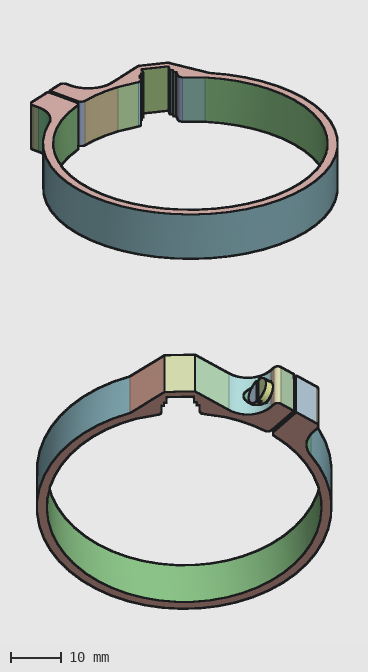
import cadquery as cq
import math

outer_radius = 29.0
inner_radius = 27.0
height = 10.0

overall_length = 64.0
lug_end_x = outer_radius - overall_length
lug_top_y = 4.55
lug_bottom_y = -6.4
slit_width = 0.6
lug_blend_radius = 5.9
lug_corner_radius = 0.95

bulge_angle = 140.0
bulge_outer_distance = 33.1
bulge_inner_distance = 31.55
bulge_outer_half_width = 2.975
notch_half_width = 2.7
tooth_depth = 0.5
tooth_distances = (29.95, 29.05)
jaw_tip_distance = 26.75
jaw_foot_half_width = 8.8
jaw_tip_radius = 0.95

screw_x = -31.0
head_diameter = 5.5
pocket_diameter = 5.8
head_height = 1.7
slot_width = 0.6
slot_depth = 0.8


def prism(sketch):
    """Extrude a closed XY outline symmetrically to the full height."""
    return sketch.extrude(height / 2, both=True)


def bulge_point(distance, side):
    """Turn a point given along and beside the bulge axis into X and Y."""
    angle = math.radians(bulge_angle)
    x = distance * math.cos(angle) + side * math.sin(angle)
    y = distance * math.sin(angle) - side * math.cos(angle)
    return (x, y)


def polygon(points):
    return prism(cq.Workplane("XY").polyline(points).close())


def mirrored(half_outline):
    """Close half of a bulge outline with its mirror image."""
    both = half_outline + [(d, -s) for d, s in reversed(half_outline)]
    return [bulge_point(d, s) for d, s in both]


def cylinder_along_y(diameter, start_y, length):
    plane = cq.Plane(origin=(screw_x, start_y, 0), xDir=(1, 0, 0), normal=(0, 1, 0))
    return cq.Workplane(plane).circle(diameter / 2).extrude(length)


jaw_foot_distance = math.sqrt(inner_radius**2 - jaw_foot_half_width**2)

flank_x, flank_corner_y = bulge_point(bulge_outer_distance, -bulge_outer_half_width)
flank_foot_y = math.sqrt(outer_radius**2 - flank_x**2)
foot_angle = math.atan2(flank_foot_y, flank_x) - math.radians(bulge_angle)
flank_foot = (outer_radius * math.cos(foot_angle), outer_radius * abs(math.sin(foot_angle)))

blend_center_x = flank_x - lug_blend_radius
blend_end_y = lug_top_y + lug_blend_radius


def bulge():
    return polygon(mirrored([
        flank_foot,
        (bulge_outer_distance, bulge_outer_half_width),
    ]) + [(0, 0)])


def notch():
    """Toothed opening between the jaws, running into the ring bore."""
    half_width = notch_half_width
    outline = [(bulge_inner_distance, half_width)]
    for distance in tooth_distances:
        outline.append((distance, half_width))
        half_width += tooth_depth
        outline.append((distance, half_width))
    outline.append((jaw_tip_distance, half_width))
    outline.append((jaw_foot_distance, jaw_foot_half_width))
    cut = polygon(mirrored(outline))
    for side in (half_width, -half_width):
        x, y = bulge_point(jaw_tip_distance, side)
        cut = cut.edges(cq.selectors.NearestToPointSelector((x, y, 0))).fillet(jaw_tip_radius)
    return cut


def bore():
    """Round bore without the segment that the two jaws occupy."""
    segment = polygon(mirrored([
        (jaw_foot_distance, jaw_foot_half_width),
        (outer_radius, jaw_foot_half_width),
    ]))
    return prism(cq.Workplane("XY").circle(inner_radius)).cut(segment)


def lugs():
    """Both lugs in one block, with the concave blends into wall and ring."""
    diagonal = lug_blend_radius * math.sqrt(0.5)
    upper_middle = (blend_center_x + diagonal, blend_end_y - diagonal)

    center_y = lug_bottom_y - lug_blend_radius
    center_distance = outer_radius + lug_blend_radius
    center_x = -math.sqrt(center_distance**2 - center_y**2)
    reach = outer_radius / center_distance
    ring_tangent = (center_x * reach, center_y * reach)
    middle_angle = (math.pi / 2 + math.atan2(-center_y, -center_x)) / 2
    lower_middle = (
        center_x + lug_blend_radius * math.cos(middle_angle),
        center_y + lug_blend_radius * math.sin(middle_angle),
    )
    block = (
        cq.Workplane("XY")
        .moveTo(lug_end_x, lug_top_y)
        .lineTo(blend_center_x, lug_top_y)
        .threePointArc(upper_middle, (flank_x, blend_end_y))
        .lineTo(flank_x, flank_corner_y)
        .lineTo(0, 0)
        .lineTo(*ring_tangent)
        .threePointArc(lower_middle, (center_x, lug_bottom_y))
        .lineTo(lug_end_x, lug_bottom_y)
        .close()
    )
    return prism(block)


def round_lug_corners(body):
    bore_edge_x = -math.sqrt(inner_radius**2 - (slit_width / 2)**2)
    corners = [
        (lug_end_x, lug_top_y),
        (lug_end_x, lug_bottom_y),
        (bore_edge_x, slit_width / 2),
        (bore_edge_x, -slit_width / 2),
    ]
    for x, y in corners:
        corner_edge = cq.selectors.NearestToPointSelector((x, y, 0))
        body = body.edges("|Z").edges(corner_edge).fillet(lug_corner_radius)
    return body


def screw_head():
    head = cylinder_along_y(head_diameter, lug_top_y, head_height)
    slot_center_y = lug_top_y + head_height - slot_depth / 2
    slot = cq.Workplane("XY").box(slot_width, slot_depth, head_diameter)
    return head.cut(slot.translate((screw_x, slot_center_y, 0)))


ring = prism(cq.Workplane("XY").circle(outer_radius))
body = ring.union(bulge()).union(lugs()).cut(bore()).cut(notch())

blend_clearance = cq.Workplane("XY").center(blend_center_x, blend_end_y).circle(lug_blend_radius)
body = body.cut(prism(blend_clearance))

slit_length = outer_radius
slit = cq.Workplane("XY").box(slit_length, slit_width, height)
body = body.cut(slit.translate((lug_end_x + slit_length / 2, 0, 0)))
body = round_lug_corners(body)

pocket = cylinder_along_y(pocket_diameter, lug_top_y, lug_blend_radius)
result = body.cut(pocket).union(screw_head())